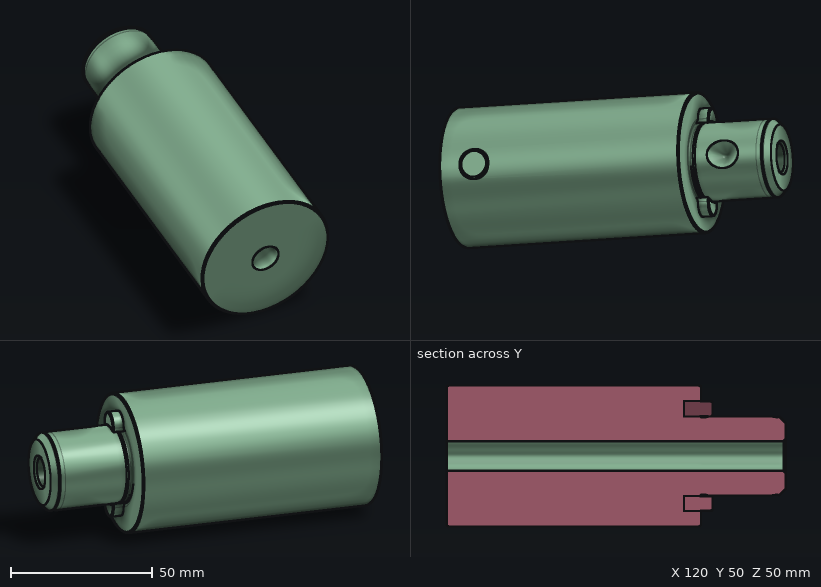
import cadquery as cq
import math

TOTAL_LENGTH = 120.0
PILOT_LENGTH = 30.0
BODY_DIAMETER = 50.0
BODY_RADIUS = BODY_DIAMETER / 2
PILOT_RADIUS = 14.0
BODY_CHAMFER = 0.5

NOSE_FACE_RADIUS = 11.8
NOSE_CHAMFER_LENGTH = 2.0
NOSE_CHAMFER_RADIUS = 13.8
NOSE_EDGE_X = 2.4
NOSE_EDGE_RADIUS = 14.0
GROOVE_START_X = 3.0
GROOVE_END_X = 3.4
GROOVE_RADIUS = 13.8
TAPER_END_X = 4.8

UNDERCUT_RADIUS = 13.7
UNDERCUT_TAPER_START = 2.3
UNDERCUT_TAPER_END = 1.3
UNDERCUT_DEPTH = 0.2
UNDERCUT_FILLET = 0.7
UNDERCUT_FACE_RADIUS = 15.6

BORE_RADIUS = 5.2
BORE_CHAMFER = 0.8

SEAT_X = 17.4
SEAT_RADIUS = 5.9

SCREW_X = 106.9
SCREW_RADIUS = 5.4
SCREW_LENGTH = 12.0
SCREW_CHAMFER = 0.7

KEY_RADIUS = 4.5
KEY_CENTER_Z = 14.9
KEY_INNER_RADIUS = 14.2
KEY_PROTRUSION = 4.1
KEY_INSERTION = 6.0
KEY_CHAMFER = 0.4


def make_turned_blank():
    """Solid of revolution about X for the body and its pilot."""
    undercut_end_x = PILOT_LENGTH + UNDERCUT_DEPTH
    fillet_offset = UNDERCUT_FILLET * (1 - math.sqrt(0.5))
    profile = (
        cq.Workplane("XZ")
        .moveTo(0, 0)
        .lineTo(0, NOSE_FACE_RADIUS)
        .lineTo(NOSE_CHAMFER_LENGTH, NOSE_CHAMFER_RADIUS)
        .lineTo(NOSE_EDGE_X, NOSE_EDGE_RADIUS)
        .lineTo(GROOVE_START_X, GROOVE_RADIUS)
        .lineTo(GROOVE_END_X, GROOVE_RADIUS)
        .lineTo(TAPER_END_X, PILOT_RADIUS)
        .lineTo(PILOT_LENGTH - UNDERCUT_TAPER_START, PILOT_RADIUS)
        .lineTo(PILOT_LENGTH - UNDERCUT_TAPER_END, UNDERCUT_RADIUS)
        .lineTo(undercut_end_x - UNDERCUT_FILLET, UNDERCUT_RADIUS)
        .threePointArc(
            (undercut_end_x - fillet_offset, UNDERCUT_RADIUS + fillet_offset),
            (undercut_end_x, UNDERCUT_RADIUS + UNDERCUT_FILLET),
        )
        .lineTo(PILOT_LENGTH, UNDERCUT_FACE_RADIUS)
        .lineTo(PILOT_LENGTH, BODY_RADIUS - BODY_CHAMFER)
        .lineTo(PILOT_LENGTH + BODY_CHAMFER, BODY_RADIUS)
        .lineTo(TOTAL_LENGTH - BODY_CHAMFER, BODY_RADIUS)
        .lineTo(TOTAL_LENGTH, BODY_RADIUS - BODY_CHAMFER)
        .lineTo(TOTAL_LENGTH, 0)
        .close()
    )
    return profile.revolve(360, (0, 0, 0), (1, 0, 0))


def make_bore():
    """Through bore along X, with its chamfer at the pilot end."""
    profile = (
        cq.Workplane("XZ")
        .moveTo(0, 0)
        .lineTo(0, BORE_RADIUS + BORE_CHAMFER)
        .lineTo(BORE_CHAMFER, BORE_RADIUS)
        .lineTo(TOTAL_LENGTH, BORE_RADIUS)
        .lineTo(TOTAL_LENGTH, 0)
        .close()
    )
    return profile.revolve(360, (0, 0, 0), (1, 0, 0))


def make_seat():
    """Cone pointing inward along -Y, widest at the pilot surface and as deep as its radius."""
    return cq.Workplane(
        cq.Solid.makeCone(
            SEAT_RADIUS, 0, SEAT_RADIUS, pnt=cq.Vector(SEAT_X, PILOT_RADIUS, 0), dir=cq.Vector(0, -1, 0)
        )
    )


def make_screw_blank():
    """Plain cylinder along Y that fills its blind hole, with its outer end level with the body."""
    return cq.Workplane("XZ", origin=(SCREW_X, BODY_RADIUS, 0)).circle(SCREW_RADIUS).extrude(SCREW_LENGTH)


def chamfer_screw(blank):
    """Screw with its outer rim chamfered."""
    return blank.faces(">Y").chamfer(SCREW_CHAMFER)


def make_key_blank(side):
    """Round-topped key hollowed to clear the pilot; side is +1 for +Z and -1 for -Z."""
    start_x = PILOT_LENGTH - KEY_PROTRUSION
    length = KEY_PROTRUSION + KEY_INSERTION
    center_z = side * KEY_CENTER_Z
    plane = cq.Workplane("YZ", origin=(start_x, 0, 0))
    outline = (
        plane.moveTo(-KEY_RADIUS, 0)
        .lineTo(-KEY_RADIUS, center_z)
        .threePointArc((0, center_z + side * KEY_RADIUS), (KEY_RADIUS, center_z))
        .lineTo(KEY_RADIUS, 0)
        .close()
        .extrude(length)
    )
    clearance = plane.circle(KEY_INNER_RADIUS).extrude(length)
    return outline.cut(clearance)


def chamfer_key(blank):
    """Key with its exposed end face chamfered all round."""
    return blank.faces("<X").chamfer(KEY_CHAMFER)


screw_blank = make_screw_blank()
screw = chamfer_screw(screw_blank)
key_blanks = [make_key_blank(side) for side in (1, -1)]
keys = [chamfer_key(blank) for blank in key_blanks]

housing = make_turned_blank().cut(make_bore()).cut(make_seat())
for blank in (screw_blank, *key_blanks):
    housing = housing.cut(blank)

result = cq.Compound.makeCompound([housing.val(), screw.val(), *[key.val() for key in keys]])